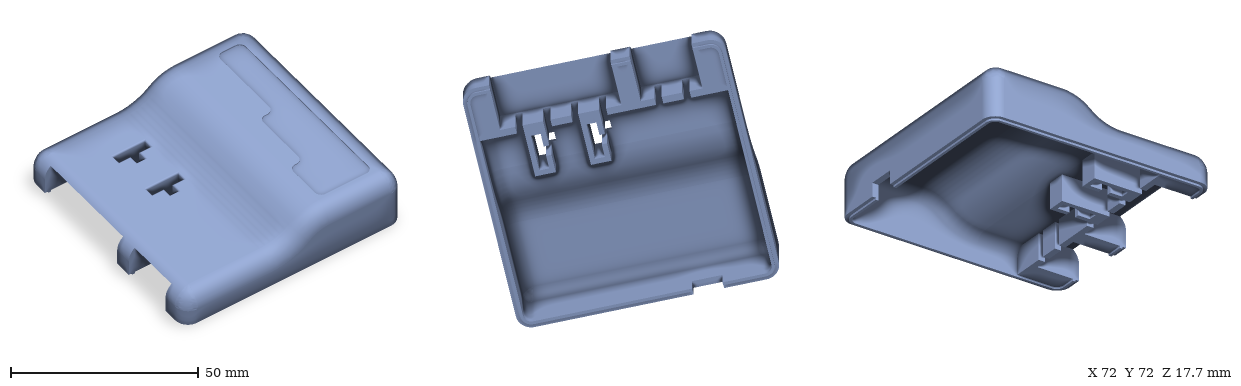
import cadquery as cq
import math

SIZE = 72.0
HIGH_TOP = 17.65
LOW_TOP = 10.65
HALF = SIZE / 2

TOP_RADIUS = 5.0
CORNER_RADIUS = 4.2

RAMP_RADIUS = 15.0
RAMP_MIDDLE_Y = 2.0

WALL = 2.0
ROOF = 2.0
LIP_HEIGHT = 0.6
LIP_INSET = 1.15

PLATE_FRONT_Y = -22.5
PLATE_THICKNESS = 2.0
PLATE_BACK_Y = PLATE_FRONT_Y + PLATE_THICKNESS

CUT_MARGIN = 1.0

POCKETS = [(-28.0, 5.2), (10.5, 27.4)]
POCKET_TOP = 9.6

SLOT_PITCH = 7.62
SLOT_WIDTH = 2.0
SLOT_TOP = LOW_TOP - ROOF
SLOT_STEPS = [-3, -2, -1, 0, 2, 3]

T_STEPS = [-2.5, -0.5]
T_CENTRE_Y = -13.8
T_STEM_LENGTH = 10.4
T_STEM_WIDTH = 2.7
T_LEG_WIDTH = 2.8
T_LEG_REACH = 2.85
T_RIM_RADIUS = 0.5
T_SELECT_MARGIN = 0.2
T_BOSS_WIDTH = SLOT_PITCH - SLOT_WIDTH
T_BOSS_WALL = (T_BOSS_WIDTH - T_STEM_WIDTH) / 2

CABLE_CENTRE_X = 15.9
CABLE_WIDTH = 8.4
CABLE_TOP = 4.8

LABEL_HALF_WIDTH = 30.05
LABEL_BACK_Y = 30.05
LABEL_STEP_X = (-3.75, 16.2)
LABEL_STEP_Y = (21.75, 17.0, 12.6)
LABEL_RADIUS = 2.0
LABEL_DEPTH = 0.3


def box(x_range, y_range, z_range):
    """Box between two X, two Y and two Z positions."""
    x0, x1 = x_range
    y0, y1 = y_range
    z0, z1 = z_range
    return cq.Workplane("XY").box(x1 - x0, y1 - y0, z1 - z0, centered=False).translate((x0, y0, z0))


def around(centre, width):
    """Two positions that lie `width` apart, evenly about a centre."""
    return (centre - width / 2, centre + width / 2)


def above(level):
    """Selector for everything whose centre lies above a Z level."""
    return cq.selectors.BoxSelector((-SIZE, -SIZE, level + CUT_MARGIN), (SIZE, SIZE, SIZE))


def ramp_body(inset, roof_drop, bottom):
    """Rounded body with the ramp, set in from the outer sides and roof; its ramp arcs stay concentric."""
    half = HALF - inset
    high = HIGH_TOP - roof_drop
    low = LOW_TOP - roof_drop
    upper_radius = RAMP_RADIUS - roof_drop
    lower_radius = RAMP_RADIUS + roof_drop
    turn = math.acos(1 - (HIGH_TOP - LOW_TOP) / (2 * RAMP_RADIUS))
    half_run = RAMP_RADIUS * math.sin(turn)
    upper_y = RAMP_MIDDLE_Y + half_run
    lower_y = RAMP_MIDDLE_Y - half_run

    def on_upper(angle):
        return (upper_y - upper_radius * math.sin(angle), high - upper_radius * (1 - math.cos(angle)))

    def on_lower(angle):
        return (lower_y + lower_radius * math.sin(angle), low + lower_radius * (1 - math.cos(angle)))

    body = (
        cq.Workplane("YZ", origin=(-half, 0, 0))
        .moveTo(-half, bottom)
        .lineTo(half, bottom)
        .lineTo(half, high)
        .lineTo(upper_y, high)
        .threePointArc(on_upper(turn / 2), on_upper(turn))
        .threePointArc(on_lower(turn / 2), on_lower(0))
        .lineTo(-half, low)
        .close()
        .extrude(2 * half)
    )
    rim = body.faces("<X or >X or <Y or >Y").edges("not(|Z)").edges(above(bottom))
    body = rim.fillet(TOP_RADIUS - inset)
    return body.edges("|Z").fillet(CORNER_RADIUS - inset)


def lip():
    """Locating lip under the rim of the wall."""
    def plate(inset):
        side = 2 * (HALF - inset)
        return (
            cq.Workplane("XY")
            .rect(side, side)
            .extrude(LIP_HEIGHT)
            .edges("|Z")
            .fillet(CORNER_RADIUS - inset)
        )

    return plate(LIP_INSET).cut(plate(WALL))


def cavity():
    """Hollow behind the plate, open at the bottom."""
    behind_plate = box((-HALF, HALF), (PLATE_BACK_Y, HALF), (LIP_HEIGHT, HIGH_TOP))
    return ramp_body(WALL, ROOF, LIP_HEIGHT).intersect(behind_plate)


def front_pocket(left_x, right_x):
    """Pocket for plugs, open at the front and at the bottom."""
    return box((left_x, right_x), (-HALF - CUT_MARGIN, PLATE_FRONT_Y), (-CUT_MARGIN, POCKET_TOP))


def slot(centre_x):
    """Slot from a front pocket through the plate to the cavity."""
    y_range = (PLATE_FRONT_Y - CUT_MARGIN, PLATE_BACK_Y + CUT_MARGIN)
    return box(around(centre_x, SLOT_WIDTH), y_range, (LIP_HEIGHT, SLOT_TOP))


def t_boss(centre_x):
    """Boss that hangs from the roof behind the plate, around the stem of a T hole."""
    back_y = T_CENTRE_Y + T_STEM_LENGTH / 2 + T_BOSS_WALL
    return box(around(centre_x, T_BOSS_WIDTH), (PLATE_BACK_Y, back_y), (LIP_HEIGHT, SLOT_TOP))


def t_hole(centre_x):
    """T-shaped hole down through the roof and the boss."""
    stem_right = centre_x + T_STEM_WIDTH / 2
    leg_x_range = (stem_right - T_STEM_WIDTH, stem_right + T_LEG_REACH)
    z_range = (0, LOW_TOP)
    stem = box(around(centre_x, T_STEM_WIDTH), around(T_CENTRE_Y, T_STEM_LENGTH), z_range)
    leg = box(leg_x_range, around(T_CENTRE_Y, T_LEG_WIDTH), z_range)
    return stem.union(leg)


def round_t_rim(body, centre_x):
    """Round the upper rim of a T hole."""
    reach = T_STEM_WIDTH / 2 + T_LEG_REACH + T_SELECT_MARGIN
    half_length = T_STEM_LENGTH / 2 + T_SELECT_MARGIN
    corner_low = (centre_x - reach, T_CENTRE_Y - half_length, LOW_TOP - T_SELECT_MARGIN)
    corner_high = (centre_x + reach, T_CENTRE_Y + half_length, LOW_TOP + T_SELECT_MARGIN)
    return body.edges(cq.selectors.BoxSelector(corner_low, corner_high)).fillet(T_RIM_RADIUS)


def cable_opening():
    """Opening for a cable plug through the back wall and its lip."""
    y_range = (HALF - WALL - CUT_MARGIN, HALF + CUT_MARGIN)
    return box(around(CABLE_CENTRE_X, CABLE_WIDTH), y_range, (-CUT_MARGIN, CABLE_TOP))


def label_recess():
    """Shallow recess with a two-step front edge and rounded corners."""
    first_x, second_x = LABEL_STEP_X
    left_y, middle_y, right_y = LABEL_STEP_Y
    outline = [
        (-LABEL_HALF_WIDTH, LABEL_BACK_Y),
        (LABEL_HALF_WIDTH, LABEL_BACK_Y),
        (LABEL_HALF_WIDTH, right_y),
        (second_x, right_y),
        (second_x, middle_y),
        (first_x, middle_y),
        (first_x, left_y),
        (-LABEL_HALF_WIDTH, left_y),
    ]
    return (
        cq.Workplane("XY", origin=(0, 0, HIGH_TOP - LABEL_DEPTH))
        .polyline(outline)
        .close()
        .extrude(LABEL_DEPTH)
        .edges("|Z")
        .fillet(LABEL_RADIUS)
    )


cover = ramp_body(0, 0, LIP_HEIGHT).union(lip())
cover = cover.cut(cavity())
for left_x, right_x in POCKETS:
    cover = cover.cut(front_pocket(left_x, right_x))
for step in SLOT_STEPS:
    cover = cover.cut(slot(step * SLOT_PITCH))
for step in T_STEPS:
    cover = cover.union(t_boss(step * SLOT_PITCH))
    cover = cover.cut(t_hole(step * SLOT_PITCH))
    cover = round_t_rim(cover, step * SLOT_PITCH)
cover = cover.cut(cable_opening())
result = cover.cut(label_recess())